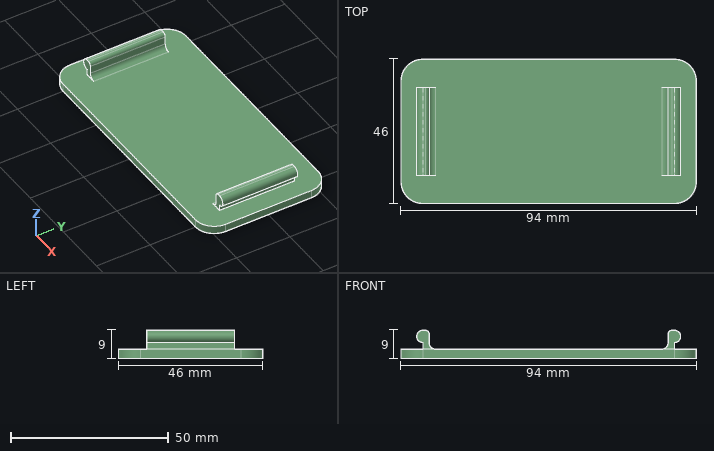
import cadquery as cq

plate_length = 94.0
plate_width = 46.0
plate_thickness = 3.0
corner_radius = 7.0

overall_height = 9.0
rail_length = 28.0
stem_inset = 7.0
stem_thickness = 2.1
bead_radius = 2.0
crown_radius = 1.2
root_radius = 2.0

plate = (
    cq.Workplane("XY")
    .rect(plate_length, plate_width)
    .extrude(plate_thickness)
    .edges("|Z")
    .fillet(corner_radius)
)


def left_rail():
    """Rail with an outward half-round bead and a concave inner root."""
    outer_x = -plate_length / 2 + stem_inset
    inner_x = outer_x + stem_thickness
    bead_z = overall_height - bead_radius
    profile = (
        cq.Workplane("XZ")
        .moveTo(outer_x, 0)
        .lineTo(outer_x, bead_z - bead_radius)
        .threePointArc((outer_x - bead_radius, bead_z), (outer_x, overall_height))
        .lineTo(inner_x - crown_radius, overall_height)
        .radiusArc((inner_x, overall_height - crown_radius), crown_radius)
        .lineTo(inner_x, plate_thickness + root_radius)
        .radiusArc((inner_x + root_radius, plate_thickness), -root_radius)
        .lineTo(inner_x + root_radius, 0)
        .close()
    )
    return profile.extrude(rail_length / 2, both=True)


rail = left_rail()
result = plate.union(rail).union(rail.mirror("YZ"))